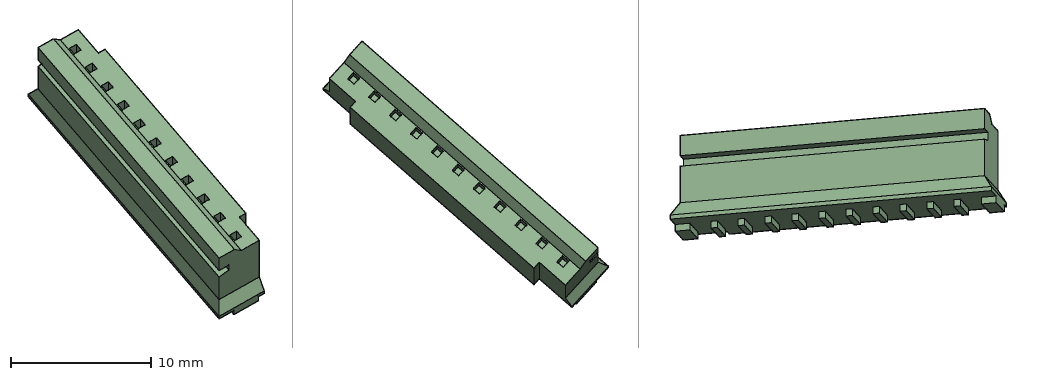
import cadquery as cq

LENGTH = 23.8
DEPTH = 4.5
HEIGHT = 6.85

BODY_LENGTH = 22.56
FRONT_OVERHANG = 0.43
BACK_PANEL_THICKNESS = 0.57
BACK_PANEL_LENGTH = 17.56
FOOT_HEIGHT = 0.5
DECK_Z = 6.25
RIDGE_WIDTH = 1.33
RIDGE_SLOPE = HEIGHT - DECK_Z

GROOVE_DEPTH = 0.85
GROOVE_TOP_Z = 5.33
GROOVE_INNER_Z = 4.74
GROOVE_OUTER_Z = 4.55

FLANGE_EDGE_Z = 0.8
FLARE_TOP_Z = 1.8

PITCH = 2.0
HOLE_COUNT = 11
HOLE_SIZE = 0.6
HOLE_BACK_OFFSET = 1.74
HOLE_DEPTH = 1.0

FOOT_COUNT = HOLE_COUNT - 1
FOOT_WIDTH = 0.48
END_FOOT_WIDTH = 1.1
FOOT_BACK_OFFSET = 1.07
FOOT_DEPTH = 2.15

FRONT_Y = -DEPTH / 2
BACK_Y = DEPTH / 2
WALL_Y = FRONT_Y + FRONT_OVERHANG
BODY_BACK_Y = BACK_Y - BACK_PANEL_THICKNESS


def centred_positions(count):
    """X positions of a row at contact pitch, centred on the part."""
    return [(i - (count - 1) / 2) * PITCH for i in range(count)]


def box(x_centre, x_size, y_min, y_max, z_min, z_max):
    """Upright block centred at x_centre."""
    return (
        cq.Workplane("XY")
        .box(x_size, y_max - y_min, z_max - z_min, centered=(True, False, False))
        .translate((x_centre, y_min, z_min))
    )


def make_body():
    """Main housing section with the front ridge and latch groove."""
    groove_y = WALL_Y + GROOVE_DEPTH
    ridge_y = WALL_Y + RIDGE_WIDTH
    section = [
        (BODY_BACK_Y, FOOT_HEIGHT),
        (WALL_Y, FOOT_HEIGHT),
        (WALL_Y, GROOVE_OUTER_Z),
        (groove_y, GROOVE_INNER_Z),
        (groove_y, GROOVE_TOP_Z),
        (WALL_Y, GROOVE_TOP_Z),
        (WALL_Y, HEIGHT),
        (ridge_y, HEIGHT),
        (ridge_y + RIDGE_SLOPE, DECK_Z),
        (BODY_BACK_Y, DECK_Z),
    ]
    return cq.Workplane("YZ").polyline(section).close().extrude(BODY_LENGTH / 2, both=True)


def make_flange():
    """Base that flares out to the front and both ends, flush with the back of the body."""
    edge = box(0, LENGTH, FRONT_Y, BODY_BACK_Y, FOOT_HEIGHT, FLANGE_EDGE_Z)
    lower_depth = BODY_BACK_Y - FRONT_Y
    upper_depth = BODY_BACK_Y - WALL_Y
    flare = (
        cq.Workplane("XY", origin=(0, BODY_BACK_Y - lower_depth / 2, FLANGE_EDGE_Z))
        .rect(LENGTH, lower_depth)
        .workplane(offset=FLARE_TOP_Z - FLANGE_EDGE_Z)
        .center(0, (lower_depth - upper_depth) / 2)
        .rect(BODY_LENGTH, upper_depth)
        .loft(ruled=True)
    )
    return edge.union(flare)


def make_back_panel():
    """Shorter raised panel on the back of the body."""
    return box(0, BACK_PANEL_LENGTH, BODY_BACK_Y, BACK_Y, FOOT_HEIGHT, DECK_Z)


def make_feet():
    """Narrow feet between the contacts and a wider foot at each end."""
    y_max = BACK_Y - FOOT_BACK_OFFSET
    y_min = y_max - FOOT_DEPTH
    end_x = (LENGTH - END_FOOT_WIDTH) / 2
    feet = cq.Workplane("XY")
    for x in centred_positions(FOOT_COUNT):
        feet = feet.union(box(x, FOOT_WIDTH, y_min, y_max, 0, FOOT_HEIGHT))
    for x in (-end_x, end_x):
        feet = feet.union(box(x, END_FOOT_WIDTH, y_min, y_max, 0, FOOT_HEIGHT))
    return feet


def make_contact_holes():
    """Row of blind square holes sunk into the rear deck."""
    hole_y = BACK_Y - HOLE_BACK_OFFSET
    return (
        cq.Workplane("XY", origin=(0, hole_y, DECK_Z - HOLE_DEPTH))
        .pushPoints([(x, 0) for x in centred_positions(HOLE_COUNT)])
        .rect(HOLE_SIZE, HOLE_SIZE)
        .extrude(HOLE_DEPTH)
    )


result = (
    make_body()
    .union(make_flange())
    .union(make_back_panel())
    .union(make_feet())
    .cut(make_contact_holes())
)